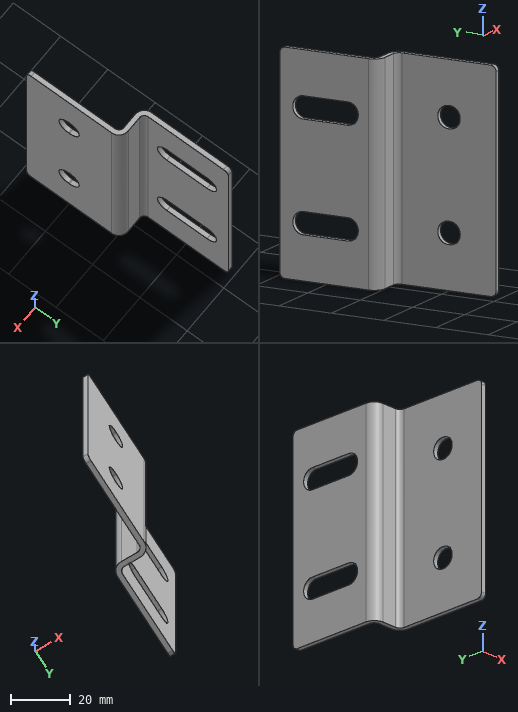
import cadquery as cq

depth = 14.2
width = 76.0
height = 80.0
thickness = 2.0

inner_bend_radius = 2.0
outer_bend_radius = inner_bend_radius + thickness
corner_radius = 2.0

row_spacing = 40.0
slot_width = 8.0
long_slot_length = 25.0
long_slot_center_y = 20.5
short_slot_length = 8.5
short_slot_center_y = -20.0

x_min = -depth / 2
x_max = depth / 2
y_min = -width / 2
y_max = width / 2
web_bottom = 0.0
web_top = web_bottom + thickness


def bent_sheet():
    """Z profile with sharp bends, extruded to full height and then rounded."""
    profile = [
        (x_min, y_max),
        (x_min, web_bottom),
        (x_max - thickness, web_bottom),
        (x_max - thickness, y_min),
        (x_max, y_min),
        (x_max, web_top),
        (x_min + thickness, web_top),
        (x_min + thickness, y_max),
    ]
    sheet = cq.Workplane("XY").polyline(profile).close().extrude(height / 2, both=True)

    outer_bends = [(x_min, web_bottom, 0), (x_max, web_top, 0)]
    inner_bends = [(x_max - thickness, web_bottom, 0), (x_min + thickness, web_top, 0)]
    for bends, radius in ((outer_bends, outer_bend_radius), (inner_bends, inner_bend_radius)):
        for point in bends:
            sheet = sheet.edges(cq.selectors.NearestToPointSelector(point)).fillet(radius)
    return sheet


def slot_column(center_y, length):
    """One slot per row, long along Y, cutting through along X."""
    rows = (-row_spacing / 2, row_spacing / 2)
    return (
        cq.Workplane("YZ")
        .pushPoints([(center_y, z) for z in rows])
        .slot2D(length, slot_width)
        .extrude(depth, both=True)
    )


bracket = bent_sheet()
bracket = bracket.faces("<Y or >Y").edges("|X").fillet(corner_radius)

bracket = bracket.cut(slot_column(long_slot_center_y, long_slot_length))
result = bracket.cut(slot_column(short_slot_center_y, short_slot_length))